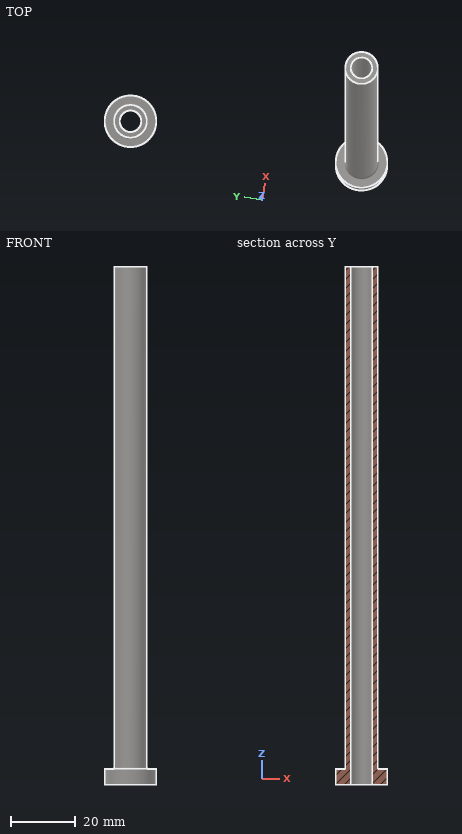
import cadquery as cq

total_length = 160.0
head_diameter = 16.0
head_height = 5.0
tube_diameter = 10.0
bore_diameter = 6.5
root_fillet_radius = 0.5

head_radius = head_diameter / 2
tube_radius = tube_diameter / 2
bore_radius = bore_diameter / 2

half_section = (
    cq.Workplane("XZ")
    .moveTo(bore_radius, 0)
    .lineTo(head_radius, 0)
    .lineTo(head_radius, head_height)
    .lineTo(tube_radius + root_fillet_radius, head_height)
    .radiusArc((tube_radius, head_height + root_fillet_radius), root_fillet_radius)
    .lineTo(tube_radius, total_length)
    .lineTo(bore_radius, total_length)
    .close()
)

result = half_section.revolve(360, (0, 0, 0), (0, 1, 0))